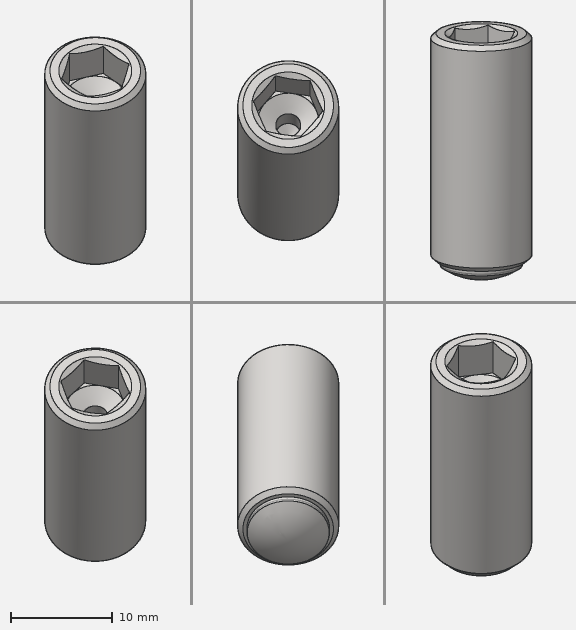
import cadquery as cq
import math

length = 25.0
body_radius = 10.0 / 2
chamfer_width = 0.52
chamfer_height = 0.48
body_bottom = 1.85

tip_radius = 8.2 / 2
tip_bevel_top = 1.48
dome_height = 1.28
dome_edge_radius = 4.05

socket_across_flats = 6.0
socket_depth = 4.0
countersink_radius = 7.2 / 2

pilot_radius = 2.45 / 2
pilot_length = 2.5

cone_slope = math.tan(math.radians(30))


def make_body():
    """Revolved screw body with chamfered ends and a domed tip."""
    end_radius = body_radius - chamfer_width
    dome_radius = (dome_edge_radius**2 + dome_height**2) / (2 * dome_height)
    dome_mid_x = dome_edge_radius / 2
    dome_mid_z = dome_radius - math.sqrt(dome_radius**2 - dome_mid_x**2)
    return (
        cq.Workplane("XZ")
        .moveTo(0, 0)
        .threePointArc((dome_mid_x, dome_mid_z), (dome_edge_radius, dome_height))
        .lineTo(tip_radius, tip_bevel_top)
        .lineTo(tip_radius, body_bottom)
        .lineTo(end_radius, body_bottom)
        .lineTo(body_radius, body_bottom + chamfer_height)
        .lineTo(body_radius, length - chamfer_height)
        .lineTo(end_radius, length)
        .lineTo(0, length)
        .close()
        .revolve(360, (0, 0, 0), (0, 1, 0))
    )


def cut_cone(rim_radius, rim_z):
    """Downward-pointing cone used as a cutting tool."""
    return (
        cq.Workplane("XZ")
        .moveTo(0, rim_z)
        .lineTo(rim_radius, rim_z)
        .lineTo(0, rim_z - rim_radius * cone_slope)
        .close()
        .revolve(360, (0, 0, 0), (0, 1, 0))
    )


def make_hexagon():
    """Hexagonal prism with two corners on the Y axis."""
    across_corners = socket_across_flats / math.cos(math.radians(30))
    return (
        cq.Workplane("XY", origin=(0, 0, length - socket_depth))
        .polygon(6, across_corners)
        .extrude(socket_depth)
        .rotate((0, 0, 0), (0, 0, 1), 30)
    )


def make_pilot_hole():
    """Blind round hole with a conical end, starting on the conical socket floor."""
    floor_radius = socket_across_flats / 2
    pilot_top = length - socket_depth - (floor_radius - pilot_radius) * cone_slope
    pilot_bottom = pilot_top - pilot_length
    hole = (
        cq.Workplane("XY", origin=(0, 0, pilot_bottom))
        .circle(pilot_radius)
        .extrude(pilot_length)
    )
    return hole.union(cut_cone(pilot_radius, pilot_bottom))


result = (
    make_body()
    .cut(make_hexagon())
    .cut(cut_cone(countersink_radius, length))
    .cut(cut_cone(socket_across_flats / 2, length - socket_depth))
    .cut(make_pilot_hole())
)